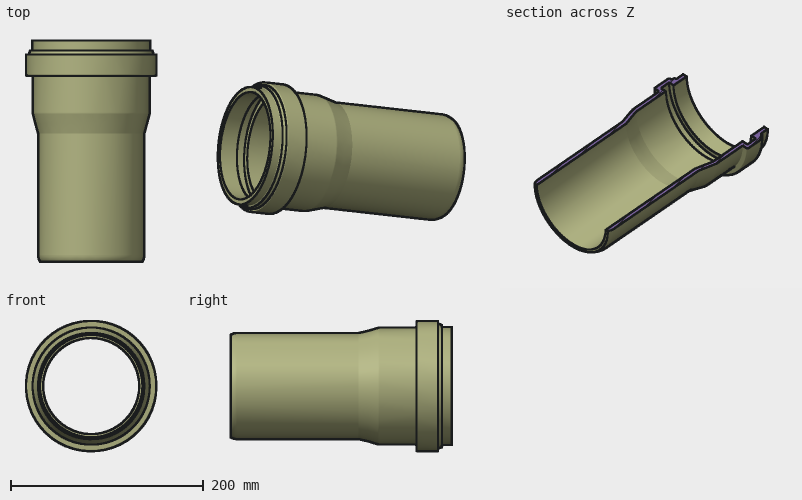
import cadquery as cq
import math


length = 230.0
spigot_outer_radius = 110.6 / 2
spigot_bore_radius = 99.6 / 2
socket_wall = 5.4
collar_radius = 123.0 / 2
bead_radius = 135.8 / 2
body_radius = 121.85 / 2

tip_radius = 106.4 / 2
tip_length = 6.6

collar_depth = 10.4
bead_start_depth = 14.4
bead_end_depth = 37.0
taper_start_depth = 75.9

shoulder_small_radius = 63.6
shoulder_large_radius = 65.0

taper_angle = math.radians(15.0)
taper_blend_radius = 5.0
bead_bottom_round = 1.7
bead_top_round = 0.9
root_fillet = 0.6

collar_y = length - collar_depth
bead_top_y = length - bead_start_depth
bead_bottom_y = length - bead_end_depth
taper_top_y = length - taper_start_depth
taper_bottom_y = taper_top_y - (body_radius - spigot_outer_radius) / math.tan(taper_angle)

tip_arc_radius = ((spigot_outer_radius - tip_radius) ** 2 + tip_length**2) / (
    2 * (spigot_outer_radius - tip_radius)
)
taper_blend_tangent = taper_blend_radius * math.tan(taper_angle / 2)


def revolve_about_y(profile):
    """Turn a closed half profile (radius, Y) into a full solid about the Y axis."""
    return profile.close().revolve(360, (0, 0, 0), (0, 1, 0))


def outer_body():
    """Solid envelope: spigot, taper, socket body, seal bead, shoulder and collar."""
    blend_radius = body_radius - taper_blend_tangent * math.sin(taper_angle)
    blend_y = taper_top_y - taper_blend_tangent * math.cos(taper_angle)
    profile = (
        cq.Workplane("XY")
        .moveTo(0, 0)
        .lineTo(tip_radius, 0)
        .radiusArc((spigot_outer_radius, tip_length), -tip_arc_radius)
        .lineTo(spigot_outer_radius, taper_bottom_y)
        .lineTo(blend_radius, blend_y)
        .radiusArc((body_radius, taper_top_y + taper_blend_tangent), -taper_blend_radius)
        .lineTo(body_radius, bead_bottom_y - root_fillet)
        .radiusArc((body_radius + root_fillet, bead_bottom_y), root_fillet)
        .lineTo(bead_radius - bead_bottom_round, bead_bottom_y)
        .radiusArc((bead_radius, bead_bottom_y + bead_bottom_round), -bead_bottom_round)
        .lineTo(bead_radius, bead_top_y - bead_top_round)
        .radiusArc((bead_radius - bead_top_round, bead_top_y), -bead_top_round)
        .lineTo(shoulder_large_radius, bead_top_y)
        .lineTo(shoulder_small_radius, collar_y)
        .lineTo(collar_radius + root_fillet, collar_y)
        .radiusArc((collar_radius, collar_y + root_fillet), root_fillet)
        .lineTo(collar_radius, length)
        .lineTo(0, length)
    )
    return revolve_about_y(profile)


def inner_bore():
    """Hollow: spigot bore, taper, socket bore, seal groove under the bead and mouth."""
    socket_bore_radius = body_radius - socket_wall
    groove_radius = bead_radius - socket_wall
    mouth_radius = collar_radius - socket_wall
    groove_bottom_y = bead_bottom_y + socket_wall
    groove_top_y = bead_top_y - socket_wall
    profile = (
        cq.Workplane("XY")
        .moveTo(0, 0)
        .lineTo(spigot_bore_radius, 0)
        .lineTo(spigot_bore_radius, taper_bottom_y)
        .lineTo(socket_bore_radius, taper_top_y)
        .lineTo(socket_bore_radius, groove_bottom_y)
        .lineTo(groove_radius, groove_bottom_y)
        .lineTo(groove_radius, groove_top_y)
        .lineTo(mouth_radius, groove_top_y)
        .lineTo(mouth_radius, length)
        .lineTo(0, length)
    )
    return revolve_about_y(profile)


result = outer_body().cut(inner_bore())